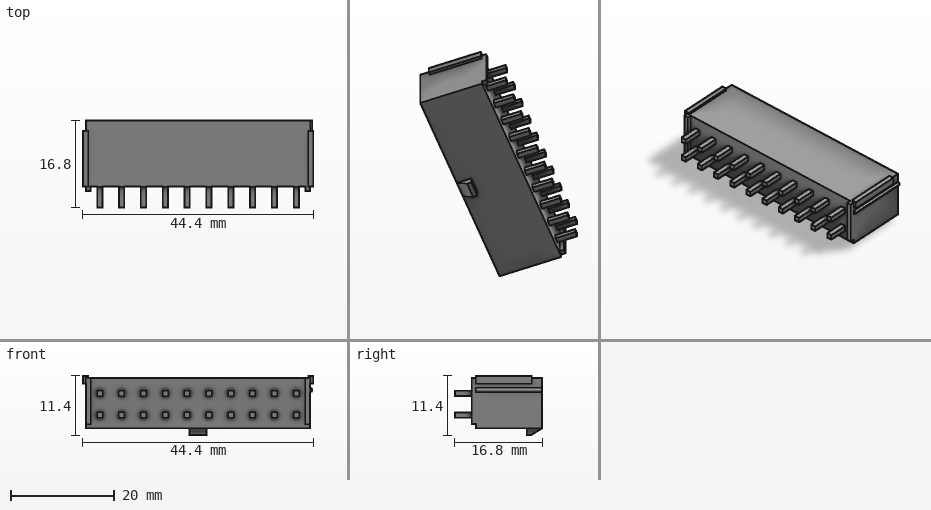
import cadquery as cq


overall_length = 44.4
overall_depth = 16.8
overall_height = 11.4

body_length = 43.2
body_depth = 12.75
clip_rise = 0.4
latch_drop = 1.35
body_height = overall_height - clip_rise - latch_drop

rib_width = 0.95
rib_depth = 0.85
rib_bottom_gap = 0.8

clip_width = 1.0
clip_height = 1.45
clip_depth = 10.75

pin_columns = 10
pin_rows = 2
pin_span = 37.85
pin_pitch = pin_span / (pin_columns - 1)
pin_size = 1.05
pin_length = overall_depth - body_depth
lower_pin_height = 2.55

latch_width = 3.35
latch_depth = 2.97
latch_tip = 0.85

key_radius = 0.4
key_drop = 2.3


def box(x_start, y_start, z_start, length, depth, height):
    """Box placed by its minimum corner."""
    block = cq.Workplane("XY").box(length, depth, height, centered=False)
    return block.translate((x_start, y_start, z_start))


def make_body():
    return box(-body_length / 2, 0, 0, body_length, body_depth, body_height)


def make_right_rib():
    x_start = body_length / 2 - rib_width
    height = body_height - rib_bottom_gap
    return box(x_start, -rib_depth, rib_bottom_gap, rib_width, rib_depth, height)


def make_right_clip():
    """Block that overlaps the body edge, leaving an L-shaped clip outside it."""
    x_start = overall_length / 2 - clip_width
    z_start = body_height + clip_rise - clip_height
    return box(x_start, 0, z_start, clip_width, clip_depth, clip_height)


def make_pins():
    row_middle = lower_pin_height + pin_pitch * (pin_rows - 1) / 2
    return (
        cq.Workplane("XZ")
        .center(0, row_middle)
        .rarray(pin_pitch, pin_pitch, pin_columns, pin_rows)
        .rect(pin_size, pin_size)
        .extrude(pin_length)
    )


def make_latch():
    latch_front = body_depth - latch_depth
    return (
        cq.Workplane("YZ")
        .moveTo(body_depth, 0)
        .lineTo(latch_front, 0)
        .lineTo(latch_front, -latch_drop)
        .lineTo(latch_front + latch_tip, -latch_drop)
        .close()
        .extrude(latch_width / 2, both=True)
    )


def make_key():
    """Cylinder centred on the end face, so that half of it stands out."""
    return (
        cq.Workplane("XZ")
        .center(body_length / 2, body_height - key_drop)
        .circle(key_radius)
        .extrude(-body_depth)
    )


result = make_body()
for end_feature in (make_right_rib(), make_right_clip()):
    result = result.union(end_feature).union(end_feature.mirror("YZ"))
result = result.union(make_pins()).union(make_latch()).union(make_key())